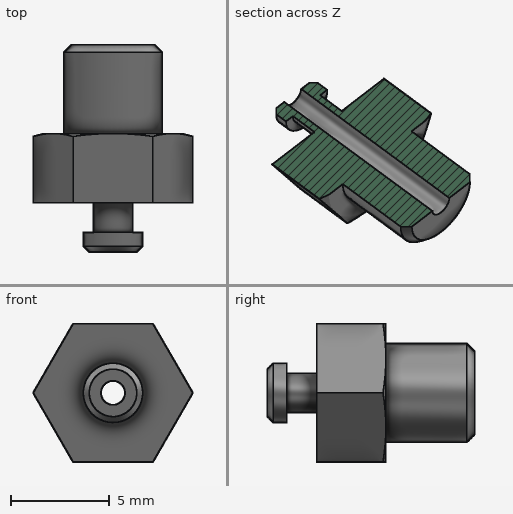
import cadquery as cq
import math

HEX_SIDES = 6
HEX_ACROSS_FLATS = 7.0
HEX_LENGTH = 3.5
HEX_CHAMFER_ANGLE = 15.0

SHANK_DIAMETER = 5.0
SHANK_LENGTH = 4.5
SHANK_CHAMFER = 0.4

NECK_DIAMETER = 2.0
NECK_LENGTH = 1.5
HEAD_DIAMETER = 3.0
HEAD_LENGTH = 1.0
HEAD_CHAMFER = 0.3

BORE_DIAMETER = 1.2

HEX_ACROSS_CORNERS = HEX_ACROSS_FLATS / math.cos(math.pi / HEX_SIDES)
HEAD_BACK = -NECK_LENGTH
HEAD_FRONT = HEAD_BACK - HEAD_LENGTH
SHANK_END = HEX_LENGTH + SHANK_LENGTH


def cylinder(diameter, y_start, y_end):
    """Round bar on the Y axis between two Y positions."""
    plane = cq.Plane(origin=(0, y_start, 0), xDir=(1, 0, 0), normal=(0, 1, 0))
    return cq.Workplane(plane).circle(diameter / 2).extrude(y_end - y_start)


def hexagon():
    """Hexagonal body with corners on X and a conical chamfer on its rear corners."""
    plane = cq.Plane(origin=(0, 0, 0), xDir=(1, 0, 0), normal=(0, 1, 0))
    prism = cq.Workplane(plane).polygon(HEX_SIDES, HEX_ACROSS_CORNERS).extrude(HEX_LENGTH)

    flat_radius = HEX_ACROSS_FLATS / 2
    outer_radius = HEX_ACROSS_CORNERS
    cone_drop = (outer_radius - flat_radius) * math.tan(math.radians(HEX_CHAMFER_ANGLE))
    envelope = (
        cq.Workplane("XY")
        .moveTo(0, 0)
        .lineTo(outer_radius, 0)
        .lineTo(outer_radius, HEX_LENGTH - cone_drop)
        .lineTo(flat_radius, HEX_LENGTH)
        .lineTo(0, HEX_LENGTH)
        .close()
        .revolve(360, (0, 0, 0), (0, 1, 0))
    )
    return prism.intersect(envelope)


def shank():
    """Plain shank with a chamfered rear end."""
    return cylinder(SHANK_DIAMETER, HEX_LENGTH, SHANK_END).faces(">Y").chamfer(SHANK_CHAMFER)


def neck():
    """Narrow neck joining the hexagon to the head."""
    return cylinder(NECK_DIAMETER, HEAD_BACK, 0)


def head():
    """Round head with a chamfered front end."""
    return cylinder(HEAD_DIAMETER, HEAD_FRONT, HEAD_BACK).faces("<Y").chamfer(HEAD_CHAMFER)


def bore():
    """Hole through the whole length."""
    return cylinder(BORE_DIAMETER, HEAD_FRONT, SHANK_END)


result = hexagon().union(shank()).union(neck()).union(head()).cut(bore())